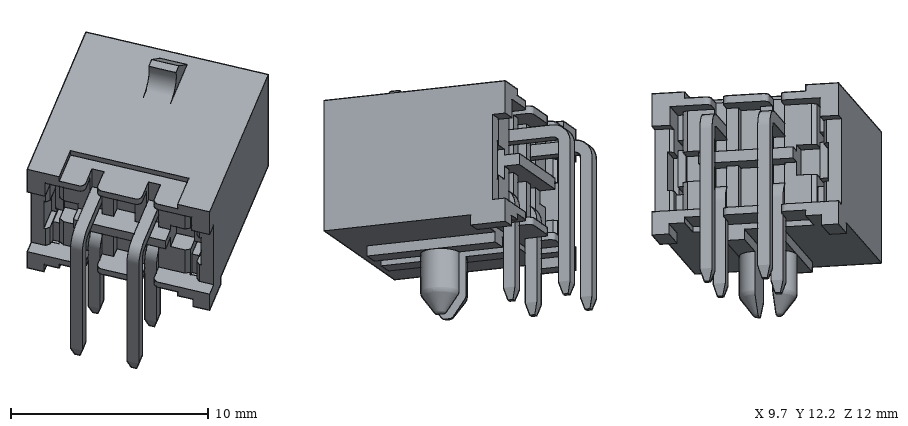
import cadquery as cq
import math


housing_width = 9.7
housing_length = 9.89
housing_bottom = 0.54
housing_top = 7.42
half_width = housing_width / 2

foot_width = 0.89
recess_length = 1.88
recess_width = 6.29
top_recess_depth = 0.33
bottom_recess_depth = 0.29

bay_half_width = 3.9
bay_depth = 1.0
bay_bottom = 1.22
bay_top = 6.68
side_gap_depth = 0.68
side_gap_top = 5.71

block_half_width = 3.48
lower_channel_depth = 1.35
upper_channel_depth = 1.76
channel_bottom = 1.0
block_chamfer_x = 0.26
block_chamfer_y = 0.15
wall_chamfer = 0.18
wall_notch_half_width = 4.18
wall_notch_bottom = 2.48
wall_notch_top = 4.5
window_height = 0.54
window_bottoms = (2.4, 4.83)

side_pocket_depth = 1.97
side_pocket_inner = 2.46
side_pocket_bottom = 2.97
side_pocket_top = 4.55
groove_width = 1.14
groove_depth = 0.55
bar_rear = 0.18
bar_bottom = 3.65
bar_top = 4.24

pin_size = 0.64
pin_pitch = 3.01
pin_bottom = -3.18
pin_tip_length = 0.6
pin_tip_size = 0.28
pin_inner_bend = pin_size / 2
upper_pin_top = 5.74
upper_pin_rear = -2.33
lower_pin_top = upper_pin_top - pin_pitch
lower_pin_rear = upper_pin_rear + pin_pitch
pin_root = 1.95
slot_depth = lower_pin_rear + pin_size
slot_mouth_radius = 0.29

latch_width = 1.44
latch_front = 9.3
latch_crest = 7.9
latch_top = 8.79
latch_radius = 1.0
latch_center_y = 6.48

peg_radius = 1.01
peg_center_y = 5.27
peg_half_gap = 0.46
peg_cone_length = 1.01
peg_tip_radius = 0.26
peg_shoulder_fillet = 0.37
peg_tip_fillet = 0.2
rail_front = 8.87


def block(x, y, z):
    """Box given by its (low, high) limits along each axis."""
    size = [high - low for low, high in (x, y, z)]
    return cq.Workplane("XY").box(*size, centered=False).translate((x[0], y[0], z[0]))


def centered_block(width, y, z):
    return block((-width / 2, width / 2), y, z)


def both_sides(shape):
    return shape.union(shape.mirror("YZ"))


def prism(outline, z):
    """Vertical prism over a closed (x, y) outline."""
    return cq.Workplane("XY").workplane(offset=z[0]).polyline(outline).close().extrude(z[1] - z[0])


def make_housing():
    body = centered_block(housing_width, (0, housing_length), (housing_bottom, housing_top))
    foot = block((half_width - foot_width, half_width), (0, recess_length), (0, housing_bottom))
    body = body.union(both_sides(foot))
    recess_y = (0, recess_length)
    top_recess = centered_block(recess_width, recess_y, (housing_top - top_recess_depth, housing_top))
    bottom_recess = centered_block(
        recess_width, recess_y, (housing_bottom, housing_bottom + bottom_recess_depth))
    return body.cut(top_recess).cut(bottom_recess)


def make_bay():
    """Space between the lips, open to the rear and partly to the sides."""
    bay = centered_block(2 * bay_half_width, (0, bay_depth), (bay_bottom, bay_top))
    side_gap = centered_block(housing_width, (0, side_gap_depth), (bay_bottom, side_gap_top))
    return bay.union(side_gap)


def make_side_cuts():
    """Channel, chamfers, wall notch, pocket and through windows on the +X side."""
    channel_x = (block_half_width, bay_half_width)
    channel_step = window_bottoms[0]
    lower_channel = block(channel_x, (bay_depth, lower_channel_depth), (channel_bottom, channel_step))
    upper_channel = block(channel_x, (bay_depth, upper_channel_depth), (channel_step, bay_top))
    cuts = lower_channel.union(upper_channel)
    block_corner = [
        (block_half_width, bay_depth),
        (block_half_width, bay_depth + block_chamfer_y),
        (block_half_width - block_chamfer_x, bay_depth),
    ]
    wall_corner = [
        (bay_half_width, side_gap_depth),
        (bay_half_width + wall_chamfer, side_gap_depth),
        (bay_half_width, side_gap_depth + wall_chamfer),
    ]
    cuts = cuts.union(prism(block_corner, (bay_bottom, bay_top)))
    cuts = cuts.union(prism(wall_corner, (bay_bottom, side_gap_top)))
    wall_notch = block((bay_half_width, wall_notch_half_width), (side_gap_depth, side_pocket_depth),
                       (wall_notch_bottom, wall_notch_top))
    pocket = block((side_pocket_inner, block_half_width), (bay_depth, side_pocket_depth),
                   (side_pocket_bottom, side_pocket_top))
    cuts = cuts.union(wall_notch).union(pocket)
    for bottom in window_bottoms:
        cuts = cuts.union(block(channel_x, (bay_depth, housing_length), (bottom, bottom + window_height)))
    return cuts


def make_pin_slot():
    """Full-height slot for one pin column, with rounded mouth corners at the rear face."""
    half = pin_size / 2
    r = slot_mouth_radius
    arc_offset = r * (1 - math.sqrt(0.5))
    return (
        cq.Workplane("XY").workplane(offset=housing_bottom)
        .moveTo(-half - r, 0)
        .threePointArc((-half - arc_offset, arc_offset), (-half, r))
        .lineTo(-half, slot_depth)
        .lineTo(half, slot_depth)
        .lineTo(half, r)
        .threePointArc((half + arc_offset, arc_offset), (half + r, 0))
        .close()
        .extrude(housing_top - housing_bottom)
    )


def make_bar():
    bar_front = bay_depth + groove_depth
    return centered_block(2 * side_pocket_inner, (bar_rear, bar_front), (bar_bottom, bar_top))


def make_pin(rear, top):
    """L-shaped square pin centred on x = 0, rooted in the block and tapered at its tip."""
    shoulder = pin_bottom + pin_tip_length
    outer_bend = pin_inner_bend + pin_size
    leg = block((-pin_size / 2, pin_size / 2), (rear, rear + pin_size), (shoulder, top))
    arm = block((-pin_size / 2, pin_size / 2), (rear, pin_root), (top - pin_size, top))
    pin = leg.union(arm)
    pin = pin.edges("|X and >Z and <Y").fillet(outer_bend)
    inner_corner = cq.selectors.NearestToPointSelector((0, rear + pin_size, top - pin_size))
    pin = pin.edges(inner_corner).fillet(pin_inner_bend)
    tip = (
        cq.Workplane("XY", origin=(0, rear + pin_size / 2, shoulder))
        .rect(pin_size, pin_size)
        .workplane(offset=-pin_tip_length)
        .rect(pin_tip_size, pin_tip_size)
        .loft()
    )
    return pin.union(tip)


def make_latch():
    """Sloped front, flat crest and a concave rear that runs out tangent to the housing top."""
    center_z = housing_top + latch_radius
    crest_rear = latch_center_y + math.sqrt(latch_radius**2 - (latch_top - center_z) ** 2)
    mid = latch_radius * math.sqrt(0.5)
    return (
        cq.Workplane("YZ").workplane(offset=-latch_width / 2)
        .moveTo(latch_front, housing_top)
        .lineTo(latch_crest, latch_top)
        .lineTo(crest_rear, latch_top)
        .threePointArc((latch_center_y + mid, center_z - mid), (latch_center_y, housing_top))
        .close()
        .extrude(latch_width)
    )


def make_peg_half():
    """+X half of the split peg, with the rail it hangs from."""
    peg = (
        cq.Workplane("XY", origin=(0, 0, pin_bottom)).circle(peg_radius).extrude(-pin_bottom)
        .faces("<Z").chamfer(peg_cone_length, peg_radius - peg_tip_radius)
    )
    peg = peg.edges("%CIRCLE and (not >Z) and (not <Z)").fillet(peg_shoulder_fillet)
    peg = peg.faces("<Z").edges().fillet(peg_tip_fillet)
    peg = peg.intersect(block((0, peg_radius), (-peg_radius, peg_radius), (pin_bottom, 0)))
    peg = peg.translate((peg_half_gap, peg_center_y, 0))
    rail = block((peg_half_gap, peg_half_gap + peg_radius), (recess_length, rail_front),
                 (0, housing_bottom))
    return peg.union(rail)


groove = centered_block(groove_width, (0, bay_depth + groove_depth), (bay_bottom, bay_top))
result = make_housing().cut(make_bay()).cut(groove).cut(both_sides(make_side_cuts()))

column_positions = (-pin_pitch / 2, pin_pitch / 2)
for column_x in column_positions:
    result = result.cut(make_pin_slot().translate((column_x, 0, 0)))

result = result.union(make_bar()).union(make_latch()).union(both_sides(make_peg_half()))

for column_x in column_positions:
    for rear, top in ((upper_pin_rear, upper_pin_top), (lower_pin_rear, lower_pin_top)):
        result = result.union(make_pin(rear, top).translate((column_x, 0, 0)))